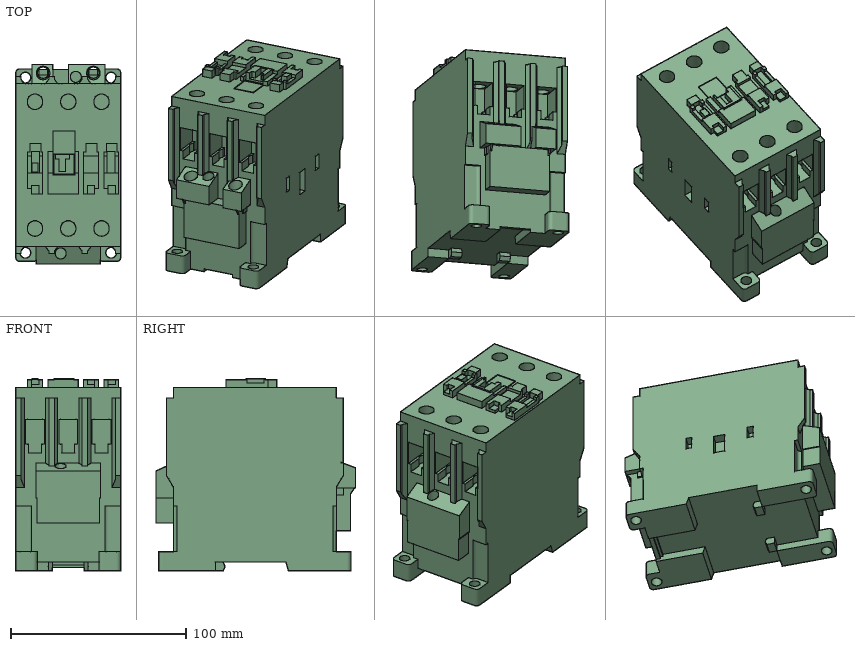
import cadquery as cq

WIDTH = 60.0
HALF_WIDTH = WIDTH / 2
BODY_Y = 46.5
BODY_TOP = 104.75
TOTAL_HEIGHT = 109.75
OVERLAP = 1.0

FOOT_Y = 55.0
FOOT_INNER_X = 17.65
FOOT_HEIGHT = 11.0
FOOT_RADIUS = 2.3
FOOT_HOLE_X = 24.5
FOOT_HOLE_Y = 50.0
FOOT_HOLE_DIAMETER = 6.0
RAIL_DEPTH = 5.0
RAIL_FRONT_Y = -22.5
RAIL_REAR_Y = 19.1
RAIL_REAR_TOP_Y = 17.7
REAR_GAP_X = 9.1
CLIP_INNER_X = 11.4
CLIP_TIP_Y = -17.0
CLIP_TIP_Z = 2.5
CLIP_TOP_Y = -18.0
BAR_BOTTOM = 1.8
BAR_STEP_Z = 3.4
BAR_DEPTH = 4.0
BAR_STEP = 1.5

RELIEF_INNER_X = 20.9
RELIEF_DEPTH = 2.0
RELIEF_TOP = 37.0

POLE_PITCH = 19.0
POLE_X = [-POLE_PITCH, 0.0, POLE_PITCH]
POLE_HOLE_Y = 36.2
POLE_HOLE_DIAMETER = 8.8
POCKET_WIDTH = 10.6
POCKET_NECK_WIDTH = 7.3
POCKET_TOP = 86.5
POCKET_LEDGE = 72.4
POCKET_BOTTOM = 67.4
POCKET_DEPTH = 15.0
FIN_X = [step * POLE_PITCH for step in (-1.5, -0.5, 0.5, 1.5)]
FIN_BASE = 3.5
FIN_TIP = 1.6
FIN_FLARE = 2.6
FIN_DEPTH = 4.0
FIN_TOP = 98.75
FIN_FOOT_OUTER = 54.5
FIN_FOOT_INNER = 47.75

FRONT_Y = -56.5
FRONT_UPPER_X = 18.35
FRONT_LOWER_X = 17.85
FRONT_ROOT_TOP = 61.6
FRONT_EDGE_TOP = 57.1
FRONT_SPLIT = 41.5
FRONT_BOTTOM = 27.3
COIL_HOLE_X = 4.3
COIL_HOLE_Y = 50.4
COIL_HOLE_DIAMETER = 6.3

REAR_Y = 57.5
REAR_ROOT_TOP = 63.0
REAR_EDGE_TOP = 58.9
REAR_BOTTOM = 47.4
REAR_LEFT_X = (-20.7, -8.8)
REAR_RIGHT_X = (0.1, 21.1)
REAR_LOWER_X = 17.85
REAR_LOWER_Y = 54.7
REAR_LOWER_BOTTOM = 22.8
GUSSET_HEIGHT = 3.5
GUSSET_Y = 57.0
GUSSET_WIDTH = 1.0
TAB_Y = 50.7
TAB_HEIGHT = 4.2
TAB_WIDTH = 0.8
SCREW_X = 14.35
SCREW_Y = 52.8
SCREW_TOP_RADIUS = 4.15
SCREW_FLOOR_RADIUS = 3.2
SCREW_FLOOR_Z = 55.0
SCREW_WINDOW_WIDTH = 4.8
SCREW_WINDOW_Y = (51.5, 56.3)

SIDE_POCKET_DEPTH = 5.0
SIDE_POCKETS = [
    (16.0, 19.3, 46.8, 55.5),
    (-3.5, 3.05, 39.1, 52.9),
    (-20.3, -16.5, 46.8, 55.5),
]

MODULE_TOP = 109.25
SADDLE_Z = 107.4
NOTCH_Z = 106.5
MODULE_REAR_Y = 12.5
MODULE_SHOULDER_Y = 7.5
SLOT_REAR_Y = 7.9
SADDLE_REAR_Y = 5.1
SADDLE_FRONT_Y = -4.4
NOTCH_REAR_Y = -11.6
MODULE_SHORT_Y = -13.3
MODULE_FRONT_Y = -16.5
NECK_INSET = 1.4
NECK_FAR_INSET = 1.0
NOTCH_OFFSET = 2.3
NOTCH_WIDTH = 4.2
SLOT_FLOOR_Z = 105.75
LEFT_MODULE_X = (-23.3, -14.6)
MIDDLE_MODULE_X = (8.7, 17.4)
RIGHT_MODULE_X = (20.4, 28.7)
LEFT_SLOT_X = (-21.1, -16.5)
RIGHT_SLOT_X = (22.2, 26.8)
SLIDER_X = (-20.8, -17.2)
SLIDER_Y = (-4.0, 1.2)

PLATE_X = (-11.65, 5.8)
SWITCH_X = (-8.7, 3.8)
SWITCH_Y = (-5.6, 6.5)
SWITCH_TRACK_REAR_Y = 19.6
SWITCH_TRACK_DEPTH = 0.4
SWITCH_CLEARANCE = 0.5
TEE_BAR_X = (-7.2, 0.8)
TEE_BAR_FRONT_Y = 3.4
TEE_STEM_X = (-5.3, -1.5)
TEE_STEM_FRONT_Y = -3.5
TEE_FLOOR_Z = 106.0


def box(x_range, y_range, z_range):
    """Axis-aligned box between the given limits."""
    size = [limits[1] - limits[0] for limits in (x_range, y_range, z_range)]
    corner = (x_range[0], y_range[0], z_range[0])
    return cq.Workplane("XY").box(*size, centered=False).translate(corner)


def upright(x, y, diameter, z_range):
    """Vertical cylinder."""
    return (
        cq.Workplane("XY", origin=(x, y, z_range[0]))
        .circle(diameter / 2)
        .extrude(z_range[1] - z_range[0])
    )


def side_profile(points, x_range):
    """Extrude a closed (y, z) outline along X."""
    return (
        cq.Workplane("YZ", origin=(x_range[0], 0, 0))
        .polyline(points)
        .close()
        .extrude(x_range[1] - x_range[0])
    )


def with_mirror(shape, plane):
    return shape.union(shape.mirror(plane))


def make_housing():
    """Main block with its four feet, the rail slot and the rail clips."""
    full_x = (-HALF_WIDTH, HALF_WIDTH)
    body = box(full_x, (-BODY_Y, BODY_Y), (0, BODY_TOP))

    foot = box((FOOT_INNER_X, HALF_WIDTH), (BODY_Y - OVERLAP, FOOT_Y), (0, FOOT_HEIGHT))
    foot = foot.edges("|Z and >Y").fillet(FOOT_RADIUS)
    body = body.union(with_mirror(with_mirror(foot, "YZ"), "XZ"))

    rail = side_profile(
        [
            (RAIL_FRONT_Y, 0),
            (RAIL_FRONT_Y, RAIL_DEPTH),
            (RAIL_REAR_TOP_Y, RAIL_DEPTH),
            (RAIL_REAR_Y, 0),
        ],
        full_x,
    )
    front_gap = box((-FOOT_INNER_X, FOOT_INNER_X), (-BODY_Y, RAIL_FRONT_Y), (0, RAIL_DEPTH))
    rear_gap = box((-REAR_GAP_X, REAR_GAP_X), (0, BODY_Y), (0, RAIL_DEPTH))
    body = body.cut(rail).cut(front_gap).cut(rear_gap)

    clip = side_profile(
        [
            (RAIL_FRONT_Y, 0),
            (CLIP_TOP_Y, 0),
            (CLIP_TIP_Y, CLIP_TIP_Z),
            (CLIP_TOP_Y, RAIL_DEPTH),
            (CLIP_TOP_Y, RAIL_DEPTH + OVERLAP),
            (RAIL_FRONT_Y, RAIL_DEPTH + OVERLAP),
        ],
        (CLIP_INNER_X, FOOT_INNER_X),
    )
    bar_front = BODY_Y - BAR_DEPTH
    bar = side_profile(
        [
            (bar_front, RAIL_DEPTH),
            (bar_front, BAR_STEP_Z),
            (bar_front + BAR_STEP, BAR_STEP_Z),
            (bar_front + BAR_STEP, BAR_BOTTOM),
            (BODY_Y, BAR_BOTTOM),
            (BODY_Y, RAIL_DEPTH),
        ],
        (-REAR_GAP_X, REAR_GAP_X),
    )
    return body.union(with_mirror(clip, "YZ")).union(bar)


def foot_holes():
    hole = upright(FOOT_HOLE_X, FOOT_HOLE_Y, FOOT_HOLE_DIAMETER, (0, FOOT_HEIGHT))
    return with_mirror(with_mirror(hole, "YZ"), "XZ")


def corner_reliefs():
    """Shallow recesses above the feet, ending in a concave quarter round."""
    floor_y = BODY_Y - RELIEF_DEPTH
    round_start_x = RELIEF_INNER_X + RELIEF_DEPTH
    relief = (
        cq.Workplane("XY", origin=(0, 0, FOOT_HEIGHT))
        .moveTo(HALF_WIDTH, BODY_Y)
        .lineTo(HALF_WIDTH, floor_y)
        .lineTo(round_start_x, floor_y)
        .radiusArc((RELIEF_INNER_X, BODY_Y), RELIEF_DEPTH)
        .close()
        .extrude(RELIEF_TOP - FOOT_HEIGHT)
    )
    return with_mirror(with_mirror(relief, "YZ"), "XZ")


def make_fins():
    """Barriers between the poles, flared at the housing and bevelled at the foot."""
    root_y = BODY_Y - OVERLAP
    flare_y = BODY_Y + FIN_FLARE
    edge_y = BODY_Y + FIN_DEPTH
    outline = [
        (-FIN_BASE, root_y),
        (-FIN_BASE, BODY_Y),
        (-FIN_TIP, flare_y),
        (-FIN_TIP, edge_y),
        (FIN_TIP, edge_y),
        (FIN_TIP, flare_y),
        (FIN_BASE, BODY_Y),
        (FIN_BASE, root_y),
    ]
    fins = cq.Workplane("XY")
    for x in FIN_X:
        fin = (
            cq.Workplane("XY", origin=(x, 0, FIN_FOOT_INNER))
            .polyline(outline)
            .close()
            .extrude(FIN_TOP - FIN_FOOT_INNER)
        )
        fins = fins.union(fin)
    envelope = side_profile(
        [
            (root_y, FIN_FOOT_INNER),
            (BODY_Y, FIN_FOOT_INNER),
            (edge_y, FIN_FOOT_OUTER),
            (edge_y, FIN_TOP),
            (root_y, FIN_TOP),
        ],
        (-HALF_WIDTH, HALF_WIDTH),
    )
    return with_mirror(fins.intersect(envelope), "XZ")


def pole_openings():
    """Wire pockets in the front and rear faces, each reached by a screw hole from the top."""
    openings = cq.Workplane("XY")
    depth = (BODY_Y - POCKET_DEPTH, BODY_Y)
    for x in POLE_X:
        half, half_neck = POCKET_WIDTH / 2, POCKET_NECK_WIDTH / 2
        openings = openings.union(box((x - half, x + half), depth, (POCKET_LEDGE, POCKET_TOP)))
        openings = openings.union(box((x - half_neck, x + half_neck), depth, (POCKET_BOTTOM, POCKET_LEDGE)))
        openings = openings.union(upright(x, POLE_HOLE_Y, POLE_HOLE_DIAMETER, (POCKET_BOTTOM, BODY_TOP)))
    return with_mirror(openings, "XZ")


def make_front_block():
    """Coil block on the front face, a little narrower in its lower part."""
    root_y = -BODY_Y + OVERLAP
    upper = side_profile(
        [
            (root_y, FRONT_SPLIT),
            (FRONT_Y, FRONT_SPLIT),
            (FRONT_Y, FRONT_EDGE_TOP),
            (-BODY_Y, FRONT_ROOT_TOP),
            (root_y, FRONT_ROOT_TOP),
        ],
        (-FRONT_UPPER_X, FRONT_UPPER_X),
    )
    lower = box((-FRONT_LOWER_X, FRONT_LOWER_X), (FRONT_Y, root_y), (FRONT_BOTTOM, FRONT_SPLIT))
    return upper.union(lower)


def make_rear_block():
    """Lower coil block on the rear face with two screw terminals above it."""
    root_y = BODY_Y - OVERLAP
    lower_x = (-REAR_LOWER_X, REAR_LOWER_X)
    block = box(lower_x, (root_y, REAR_LOWER_Y), (REAR_LOWER_BOTTOM, REAR_BOTTOM))

    tab_x = (REAR_LOWER_X, REAR_LOWER_X + TAB_WIDTH)
    tab = box(tab_x, (root_y, TAB_Y), (REAR_BOTTOM - TAB_HEIGHT, REAR_BOTTOM))
    gusset = side_profile(
        [
            (REAR_LOWER_Y, REAR_BOTTOM),
            (GUSSET_Y, REAR_BOTTOM),
            (REAR_LOWER_Y, REAR_BOTTOM - GUSSET_HEIGHT),
        ],
        (REAR_LOWER_X - GUSSET_WIDTH, REAR_LOWER_X),
    )
    block = block.union(with_mirror(tab.union(gusset), "YZ"))

    outline = [
        (root_y, REAR_BOTTOM),
        (REAR_Y, REAR_BOTTOM),
        (REAR_Y, REAR_EDGE_TOP),
        (BODY_Y, REAR_ROOT_TOP),
        (root_y, REAR_ROOT_TOP),
    ]
    for x_range in (REAR_LEFT_X, REAR_RIGHT_X):
        block = block.union(side_profile(outline, x_range))
    return block


def screw_recesses():
    """Tapered screw seats in the rear terminals, each with a square window through its floor."""
    seat = (
        cq.Workplane("XY", origin=(SCREW_X, SCREW_Y, SCREW_FLOOR_Z))
        .circle(SCREW_FLOOR_RADIUS)
        .workplane(offset=REAR_ROOT_TOP - SCREW_FLOOR_Z)
        .circle(SCREW_TOP_RADIUS)
        .loft()
    )
    half = SCREW_WINDOW_WIDTH / 2
    window = box((SCREW_X - half, SCREW_X + half), SCREW_WINDOW_Y, (REAR_BOTTOM, SCREW_FLOOR_Z))
    return with_mirror(seat.union(window), "YZ")


def coil_holes():
    front = upright(-COIL_HOLE_X, -COIL_HOLE_Y, COIL_HOLE_DIAMETER, (FRONT_SPLIT, FRONT_ROOT_TOP))
    rear = upright(COIL_HOLE_X, COIL_HOLE_Y, COIL_HOLE_DIAMETER, (REAR_BOTTOM, REAR_ROOT_TOP))
    return front.union(rear)


def side_pockets():
    pockets = cq.Workplane("XY")
    x_range = (-HALF_WIDTH, -HALF_WIDTH + SIDE_POCKET_DEPTH)
    for y_from, y_to, z_from, z_to in SIDE_POCKETS:
        pockets = pockets.union(box(x_range, (y_from, y_to), (z_from, z_to)))
    return pockets


def make_contact_module(x_range, short_left, slot_x=None):
    """Stepped module with a saddle, a front notch and an optional sunken slot."""
    left, right = x_range
    z_range = (BODY_TOP - OVERLAP, MODULE_TOP)
    module = box(x_range, (MODULE_SHORT_Y, MODULE_SHOULDER_Y), z_range)
    neck_x = (left + NECK_INSET, right - NECK_FAR_INSET)
    module = module.union(box(neck_x, (MODULE_SHOULDER_Y, MODULE_REAR_Y), z_range))

    if short_left:
        notch_x = (left + NOTCH_OFFSET, left + NOTCH_OFFSET + NOTCH_WIDTH)
        nose_x = (notch_x[0], right)
    else:
        notch_x = (right - NOTCH_OFFSET - NOTCH_WIDTH, right - NOTCH_OFFSET)
        nose_x = (left, notch_x[1])
    module = module.union(box(nose_x, (MODULE_FRONT_Y, MODULE_SHORT_Y), z_range))
    module = module.cut(box(notch_x, (MODULE_FRONT_Y, NOTCH_REAR_Y), (NOTCH_Z, MODULE_TOP)))

    module = module.cut(box(x_range, (SADDLE_FRONT_Y, SADDLE_REAR_Y), (SADDLE_Z, MODULE_TOP)))
    if slot_x:
        module = module.cut(box(slot_x, (SADDLE_FRONT_Y, SLOT_REAR_Y), (SLOT_FLOOR_Z, MODULE_TOP)))
    return module


def make_indicator():
    """Label plate with an opening that holds the T-recessed position switch."""
    root_z = BODY_TOP - OVERLAP
    plate = box(PLATE_X, (MODULE_FRONT_Y, SLOT_REAR_Y), (root_z, MODULE_TOP))
    plate = plate.cut(box(PLATE_X, (SADDLE_FRONT_Y, SLOT_REAR_Y), (SADDLE_Z, MODULE_TOP)))
    switch_opening = box(SWITCH_X, SWITCH_Y, (BODY_TOP, MODULE_TOP))
    switch_x = (SWITCH_X[0] + SWITCH_CLEARANCE, SWITCH_X[1] - SWITCH_CLEARANCE)
    switch_y = (SWITCH_Y[0] + SWITCH_CLEARANCE, SWITCH_Y[1] - SWITCH_CLEARANCE)
    switch = box(switch_x, switch_y, (root_z, TOTAL_HEIGHT))
    tee_z = (TEE_FLOOR_Z, TOTAL_HEIGHT)
    tee_bar = box(TEE_BAR_X, (TEE_BAR_FRONT_Y, SWITCH_Y[1]), tee_z)
    tee_stem = box(TEE_STEM_X, (TEE_STEM_FRONT_Y, SWITCH_Y[1]), tee_z)
    return plate.cut(switch_opening).union(switch).cut(tee_bar).cut(tee_stem)


def switch_track():
    """Shallow track behind the position switch."""
    floor_z = BODY_TOP - SWITCH_TRACK_DEPTH
    return box(SWITCH_X, (SWITCH_Y[1], SWITCH_TRACK_REAR_Y), (floor_z, TOTAL_HEIGHT))


result = make_housing()
result = result.cut(foot_holes()).cut(corner_reliefs())
result = result.union(make_fins()).cut(pole_openings())

result = result.union(make_front_block()).union(make_rear_block())
result = result.cut(coil_holes()).cut(screw_recesses())
result = result.cut(side_pockets())

result = result.union(make_contact_module(LEFT_MODULE_X, True, LEFT_SLOT_X))
result = result.union(make_contact_module(MIDDLE_MODULE_X, False))
result = result.union(make_contact_module(RIGHT_MODULE_X, True, RIGHT_SLOT_X))
result = result.union(box(SLIDER_X, SLIDER_Y, (BODY_TOP, TOTAL_HEIGHT)))
result = result.union(make_indicator()).cut(switch_track())